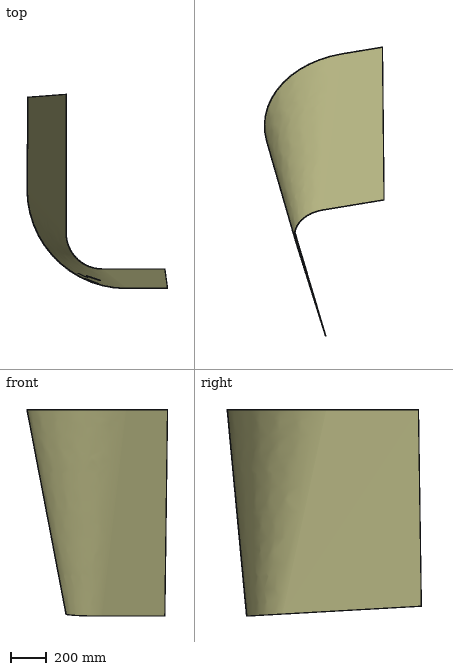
import cadquery as cq
import math

length_x = 782.0
length_y = 1080.0
height = 1147.0
thickness = 3.0

top_radius = 553.0
top_left_end_y = 1064.0
top_left_end_inset = 5.0

bottom_inset_x = 217.0
bottom_inset_y = 108.0
bottom_radius = 202.0
bottom_right_end_x = 767.0
bottom_rise = 55.0
bottom_slope = bottom_rise / (length_y - bottom_inset_y)


def edge_points(corner_x, corner_y, radius, left_end, right_end_x, offset, level):
    """Left end, round start, round middle, round end and right end of one edge.

    The offset moves the edge into the sheet; level gives Z for a given Y.
    """
    center_x = corner_x + radius
    center_y = corner_y + radius
    inner_radius = radius - offset
    diagonal = inner_radius * math.sqrt(0.5)
    plan = [
        (left_end[0] + offset, left_end[1]),
        (center_x - inner_radius, center_y),
        (center_x - diagonal, center_y - diagonal),
        (center_x, center_y - inner_radius),
        (right_end_x, corner_y + offset),
    ]
    return [cq.Vector(x, y, level(y)) for x, y in plan]


def top_points(offset):
    left_end = (top_left_end_inset, top_left_end_y)
    return edge_points(0, 0, top_radius, left_end, length_x, offset, lambda y: height)


def bottom_points(offset):
    def level(y):
        return bottom_slope * (y - bottom_inset_y - offset)

    left_end = (bottom_inset_x, length_y)
    return edge_points(
        bottom_inset_x, bottom_inset_y, bottom_radius, left_end, bottom_right_end_x, offset, level
    )


def edge_curves(points):
    """Left leg, round and right leg through the five edge points."""
    left_end, round_start, round_middle, round_end, right_end = points
    return [
        cq.Edge.makeLine(left_end, round_start),
        cq.Edge.makeThreePointArc(round_start, round_middle, round_end),
        cq.Edge.makeLine(round_end, right_end),
    ]


def flat_face(*corners):
    return cq.Face.makeFromWires(cq.Wire.makePolygon(corners, close=True))


def skin_faces(top, bottom):
    """One side of the sheet: folded left wall, conical round and flat front wall."""
    top_left, top_start, _, _, _ = top
    bottom_left, bottom_start, _, _, _ = bottom
    _, top_round, top_right = edge_curves(top)
    _, bottom_round, bottom_right = edge_curves(bottom)
    return [
        flat_face(top_left, top_start, bottom_start),
        flat_face(top_left, bottom_start, bottom_left),
        cq.Face.makeRuledSurface(top_round, bottom_round),
        cq.Face.makeRuledSurface(top_right, bottom_right),
    ]


def rim_faces(outer, inner):
    """Narrow strip across the sheet thickness along one edge."""
    pairs = zip(edge_curves(outer), edge_curves(inner))
    return [cq.Face.makeRuledSurface(outer_curve, inner_curve) for outer_curve, inner_curve in pairs]


def end_face(top_outer, top_inner, bottom_outer, bottom_inner):
    """Strip closing the sheet at a free end of a leg."""
    return cq.Face.makeRuledSurface(
        cq.Edge.makeLine(top_outer, top_inner), cq.Edge.makeLine(bottom_outer, bottom_inner)
    )


outer_top = top_points(0)
outer_bottom = bottom_points(0)
inner_top = top_points(thickness)
inner_bottom = bottom_points(thickness)

faces = skin_faces(outer_top, outer_bottom) + skin_faces(inner_top, inner_bottom)
faces += rim_faces(outer_top, inner_top) + rim_faces(outer_bottom, inner_bottom)
for end in (0, -1):
    faces.append(end_face(outer_top[end], inner_top[end], outer_bottom[end], inner_bottom[end]))

result = cq.Workplane(obj=cq.Solid.makeSolid(cq.Shell.makeShell(faces)))